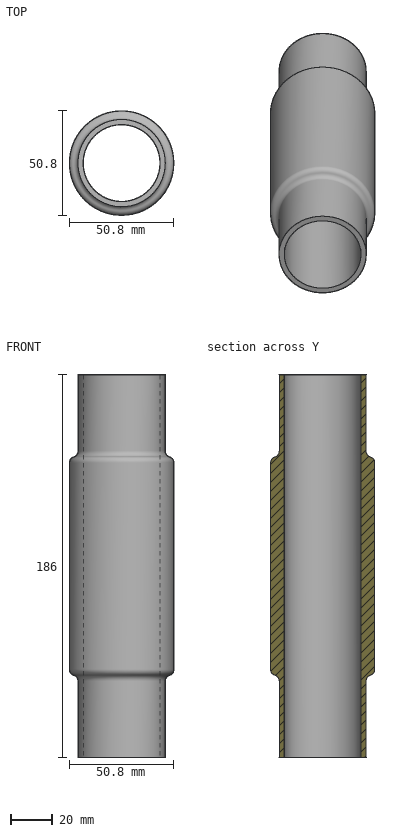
import cadquery as cq
import math

total_length = 186.0
body_diameter = 50.8
end_diameter = 42.5
bore_diameter = 37.2
end_length = 37.2
shoulder_length = 5.5

body_radius = body_diameter / 2
end_radius = end_diameter / 2
bore_radius = bore_diameter / 2
arc_rise = (body_radius - end_radius) / 2
arc_length_along_axis = shoulder_length / 2
arc_angle = 2 * math.atan(arc_rise / arc_length_along_axis)
arc_radius = arc_length_along_axis / math.sin(arc_angle)
half_angle = arc_angle / 2
middle_rise = arc_radius * (1 - math.cos(half_angle))
middle_run = arc_radius * math.sin(half_angle)

shoulder_radius = end_radius + arc_rise
half_length = total_length / 2
shoulder_outer_z = half_length - end_length
shoulder_middle_z = shoulder_outer_z - arc_length_along_axis
shoulder_inner_z = shoulder_outer_z - shoulder_length


def draw_upper_shoulder(profile):
    """Continue the profile from the body up to the upper spigot."""
    return profile.threePointArc(
        (body_radius - middle_rise, shoulder_inner_z + middle_run),
        (shoulder_radius, shoulder_middle_z),
    ).threePointArc(
        (end_radius + middle_rise, shoulder_outer_z - middle_run),
        (end_radius, shoulder_outer_z),
    )


def draw_lower_shoulder(profile):
    """Continue the profile from the lower spigot up to the body."""
    return profile.threePointArc(
        (end_radius + middle_rise, -shoulder_outer_z + middle_run),
        (shoulder_radius, -shoulder_middle_z),
    ).threePointArc(
        (body_radius - middle_rise, -shoulder_inner_z - middle_run),
        (body_radius, -shoulder_inner_z),
    )


def make_sleeve():
    """Revolve the tube wall, from the straight bore to the stepped outside, about Z."""
    profile = cq.Workplane("XZ").moveTo(bore_radius, -half_length)
    profile = profile.lineTo(end_radius, -half_length).lineTo(end_radius, -shoulder_outer_z)
    profile = draw_lower_shoulder(profile)
    profile = profile.lineTo(body_radius, shoulder_inner_z)
    profile = draw_upper_shoulder(profile)
    profile = profile.lineTo(end_radius, half_length).lineTo(bore_radius, half_length).close()
    return profile.revolve(360, (0, 0, 0), (0, 1, 0))


result = make_sleeve()